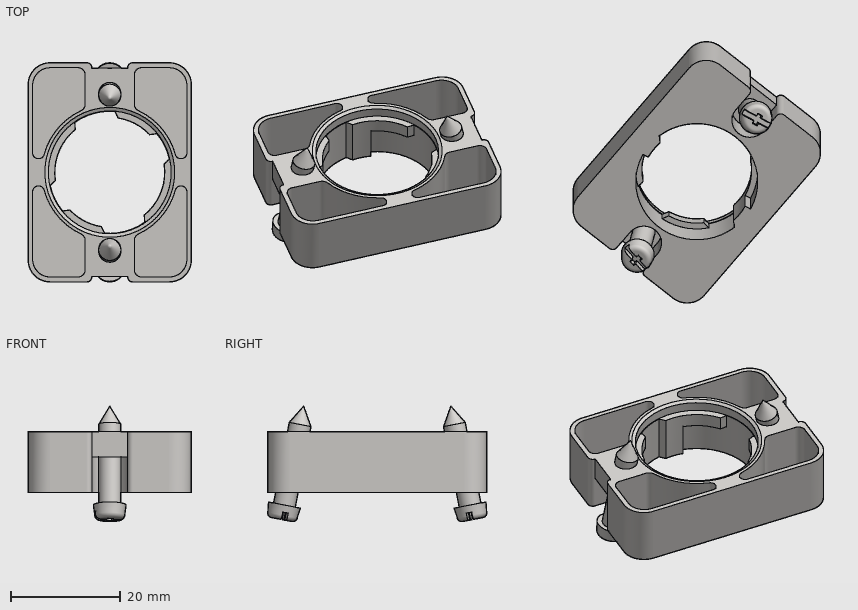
import cadquery as cq
import math

length_x = 29.9
length_y = 40.15
height = 11.12
corner_radius = 4.05

bore_radius = 11.15
upper_bore_radius = 11.25
rim_radius = 11.9
rim_chamfer_depth = 0.32

lug_inner_radius = 10.05
lug_bottom = 6.4
lug_top = 9.0
lug_end_flare = 3.7
short_lug_middle = 62.2
short_lug_half_angle = 19.0
long_lug_middle = -21.3
long_lug_half_angle = 29.9
stop_angle = 20.0

floor_thickness = 0.8
side_wall = 0.85
end_wall = 0.92
pocket_corner_radius = corner_radius - side_wall
pocket_tip_fillet = 1.05
pocket_inner_fillet = 1.33
pocket_inner_x = 4.5
pocket_inner_y = 2.5
ring_radius = 12.45

notch_width = 6.5
notch_depth = 1.0
notch_fillet = 0.95
bridge_thickness = 4.6

screw_tilt = 11.0
head_seat_y = 17.0
head_seat_z = -2.3
shaft_radius = 2.05
shaft_length = 15.0
tip_length = 3.45
head_radius = 3.0
head_bottom_radius = 2.77
head_side_height = 1.85
head_height = 2.75
head_edge_radius = head_height - head_side_height
drive_depth = 1.4
drive_width = 1.0
drive_turn = 10.0
drive_cross_length = 2.0

recess_top = height - bridge_thickness
tilt_slope = math.tan(math.radians(screw_tilt))
recess_center_y = head_seat_y - (recess_top - head_seat_z) * tilt_slope
notch_face_y = length_y / 2 - notch_depth


def make_block():
    """Rounded block with a filleted notch in the middle of each end."""
    block = cq.Workplane("XY").box(length_x, length_y, height, centered=(True, True, False))
    block = block.edges("|Z").fillet(corner_radius)
    for side in (-1, 1):
        notch = (
            cq.Workplane("XY")
            .center(0, side * length_y / 2)
            .rect(notch_width, 2 * notch_depth)
            .extrude(height)
        )
        block = block.cut(notch)
    mouth_edges = cq.selectors.BoxSelector(
        (-notch_width, -length_y, 0), (notch_width, length_y, height)
    )
    end_faces = block.faces("<Y or >Y")
    return end_faces.edges("|Z").edges(mouth_edges).fillet(notch_fillet)


def make_pocket(side_x, side_y):
    """Corner pocket between the outer walls and the wall around the bore."""
    size_x = length_x / 2 - side_wall - pocket_inner_x
    size_y = length_y / 2 - end_wall - pocket_inner_y
    pocket = (
        cq.Workplane("XY", origin=(pocket_inner_x, pocket_inner_y, floor_thickness))
        .box(size_x, size_y, height - floor_thickness, centered=False)
        .cut(cq.Workplane("XY").circle(ring_radius).extrude(height))
    )
    pocket = pocket.edges("|Z and >X and >Y").fillet(pocket_corner_radius)
    pocket = pocket.edges("|Z and <X and >Y").fillet(pocket_inner_fillet)
    ring_corner_x = math.sqrt(ring_radius**2 - pocket_inner_y**2)
    ring_corner_y = math.sqrt(ring_radius**2 - pocket_inner_x**2)
    for corner_x, corner_y, radius in (
        (pocket_inner_x, ring_corner_y, pocket_inner_fillet),
        (ring_corner_x, pocket_inner_y, pocket_tip_fillet),
        (length_x / 2 - side_wall, pocket_inner_y, pocket_tip_fillet),
    ):
        corner = cq.NearestToPointSelector((corner_x, corner_y, height / 2))
        pocket = pocket.edges("|Z").edges(corner).fillet(radius)
    if side_x < 0:
        pocket = pocket.mirror("YZ")
    if side_y < 0:
        pocket = pocket.mirror("XZ")
    return pocket


def make_bore():
    """Stepped bore with a chamfered rim."""
    return (
        cq.Workplane("XZ")
        .moveTo(0, 0)
        .lineTo(bore_radius, 0)
        .lineTo(bore_radius, lug_top)
        .lineTo(upper_bore_radius, lug_top)
        .lineTo(upper_bore_radius, height - rim_chamfer_depth)
        .lineTo(rim_radius, height)
        .lineTo(0, height)
        .close()
        .revolve(360, (0, 0, 0), (0, 1, 0))
    )


def polar(radius, angle):
    """Point at an angle in degrees around the bore axis."""
    turn = math.radians(angle)
    return (radius * math.cos(turn), radius * math.sin(turn))


def make_lug(start, end, start_flare, end_flare, bottom):
    """Arc-shaped lug on the bore wall, its root wider than its inner face."""
    root_radius = (bore_radius + ring_radius) / 2
    flare_growth = (root_radius - lug_inner_radius) / (bore_radius - lug_inner_radius)
    root_start = start - start_flare * flare_growth
    root_end = end + end_flare * flare_growth
    lug = (
        cq.Workplane("XY", origin=(0, 0, bottom))
        .moveTo(*polar(lug_inner_radius, start))
        .threePointArc(polar(lug_inner_radius, (start + end) / 2), polar(lug_inner_radius, end))
        .lineTo(*polar(root_radius, root_end))
        .threePointArc(polar(root_radius, (root_start + root_end) / 2), polar(root_radius, root_start))
        .close()
        .extrude(lug_top - bottom)
    )
    wall_zone = cq.Workplane("XY").circle(ring_radius).circle(lug_inner_radius - 0.4).extrude(height)
    return lug.intersect(wall_zone)


def make_lugs():
    """Two short lugs and two long lugs with a stop, repeated half a turn apart."""
    long_start = long_lug_middle - long_lug_half_angle
    long_end = long_lug_middle + long_lug_half_angle
    short_start = short_lug_middle - short_lug_half_angle
    short_end = short_lug_middle + short_lug_half_angle
    lugs = []
    for turn in (0, 180):
        pieces = (
            make_lug(short_start, short_end, lug_end_flare, lug_end_flare, lug_bottom),
            make_lug(long_start, long_end, lug_end_flare, lug_end_flare, lug_bottom),
            make_lug(long_end - stop_angle, long_end, 0, lug_end_flare, 0),
        )
        for piece in pieces:
            lugs.append(piece.rotate((0, 0, 0), (0, 0, 1), turn))
    return lugs


def make_screw_recess(side):
    """Round-ended recess under the bridge, open to the bottom and to the end notch."""
    recess = cq.Workplane("XY").center(0, recess_center_y).circle(notch_width / 2).extrude(recess_top)
    channel_length = length_y / 2 - recess_center_y
    channel = (
        cq.Workplane("XY")
        .center(0, recess_center_y + channel_length / 2)
        .rect(notch_width, channel_length)
        .extrude(recess_top)
    )
    notch_limit = (
        cq.Workplane("XY")
        .rect(notch_width, 2 * notch_face_y)
        .extrude(recess_top)
    )
    recess = recess.union(channel).intersect(notch_limit)
    return recess if side > 0 else recess.mirror("XZ")


def place_screw_shape(shape, side):
    """Tilt a shape built along +Z and move it to the screw seat at one end."""
    placed = shape.rotate((0, 0, 0), (1, 0, 0), screw_tilt).translate((0, head_seat_y, head_seat_z))
    return placed if side > 0 else placed.mirror("XZ")


def make_housing():
    housing = make_block().cut(make_bore())
    for side_x in (-1, 1):
        for side_y in (-1, 1):
            housing = housing.cut(make_pocket(side_x, side_y))
    for lug in make_lugs():
        housing = housing.union(lug)
    for side in (-1, 1):
        housing = housing.cut(make_screw_recess(side))
        screw_hole = cq.Workplane("XY").circle(shaft_radius).extrude(shaft_length + tip_length)
        housing = housing.cut(place_screw_shape(screw_hole, side))
    return housing


def make_drive_recess():
    """Slot right across the head with a short cross arm."""
    slot = cq.Workplane("XY").rect(2 * head_radius, drive_width)
    cross = cq.Workplane("XY").rect(drive_width, drive_cross_length)
    recess = slot.extrude(drive_depth).union(cross.extrude(drive_depth))
    return recess.rotate((0, 0, 0), (0, 0, 1), -drive_turn).translate((0, 0, -head_height))


def make_screw(side):
    """Pointed screw; the face under its head lies at the local origin."""
    flat_radius = head_bottom_radius - head_edge_radius
    edge_middle = head_edge_radius * math.sqrt(0.5)
    screw = (
        cq.Workplane("XZ")
        .moveTo(0, -head_height)
        .lineTo(flat_radius, -head_height)
        .threePointArc(
            (flat_radius + edge_middle, -head_side_height - edge_middle),
            (head_bottom_radius, -head_side_height),
        )
        .lineTo(head_radius, 0)
        .lineTo(shaft_radius, 0)
        .lineTo(shaft_radius, shaft_length)
        .lineTo(0, shaft_length + tip_length)
        .close()
        .revolve(360, (0, 0, 0), (0, 1, 0))
        .cut(make_drive_recess())
    )
    return place_screw_shape(screw, side)


housing = make_housing()
screws = [make_screw(side) for side in (-1, 1)]

result = cq.Compound.makeCompound([housing.val(), *[screw.val() for screw in screws]])